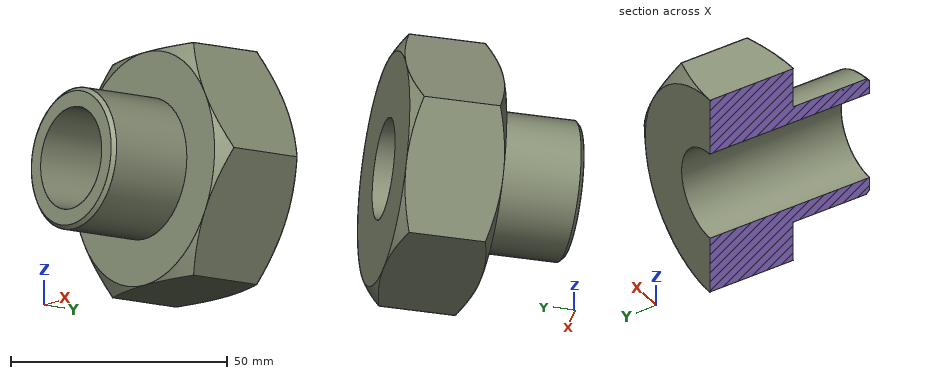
import cadquery as cq
import math

hex_sides = 6
across_flats = 55.0
hex_length = 23.0
overall_length = 44.0
spigot_diameter = 33.2
bore_diameter = 24.0
spigot_chamfer = 0.9
corner_chamfer_angle = 30.0

across_corners = across_flats / math.cos(math.pi / hex_sides)
spigot_length = overall_length - hex_length
flat_radius = across_flats / 2.0
corner_radius = across_corners / 2.0
corner_chamfer_depth = (corner_radius - flat_radius) * math.tan(math.radians(corner_chamfer_angle))


def make_hexagon():
    """Hexagon along Y with corners on the X axis, its front face at Y = 0."""
    return cq.Workplane("XZ").polygon(hex_sides, across_corners).extrude(-hex_length)


def make_corner_envelope():
    """Turned profile around Y whose conical ends trim the hexagon corners."""
    return (
        cq.Workplane("XY")
        .moveTo(0, 0)
        .lineTo(flat_radius, 0)
        .lineTo(corner_radius, corner_chamfer_depth)
        .lineTo(corner_radius, hex_length - corner_chamfer_depth)
        .lineTo(flat_radius, hex_length)
        .lineTo(0, hex_length)
        .close()
        .revolve(360, (0, 0, 0), (0, 1, 0))
    )


def make_spigot():
    """Round tube end projecting toward -Y, chamfered at its free edge."""
    spigot = cq.Workplane("XZ").circle(spigot_diameter / 2.0).extrude(spigot_length)
    return spigot.faces("<Y").chamfer(spigot_chamfer)


def make_bore():
    """Plain through bore along the full length."""
    bore = cq.Workplane("XZ", origin=(0, hex_length, 0))
    return bore.circle(bore_diameter / 2.0).extrude(overall_length)


nut = make_hexagon().intersect(make_corner_envelope())
result = nut.union(make_spigot()).cut(make_bore())